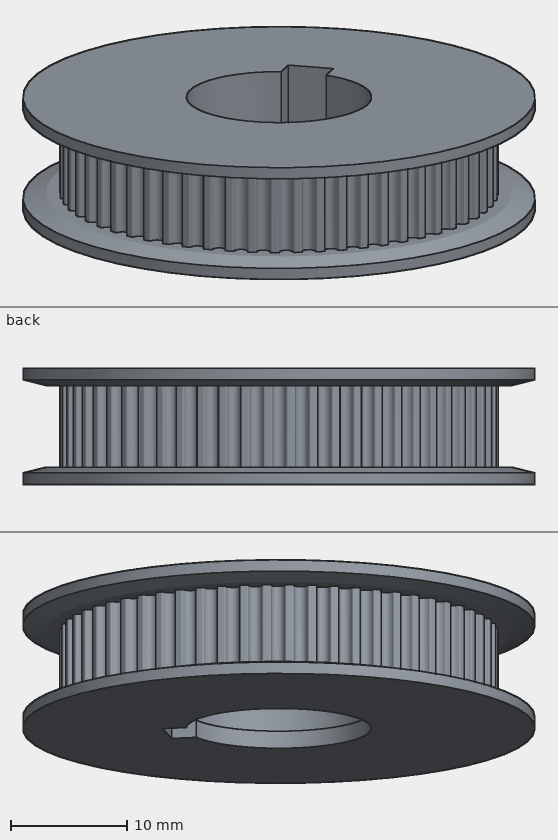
import cadquery as cq
import math

total_height = 10.0
flange_diameter = 44.0
flange_thickness = 1.5
flange_rim_height = 1.0
flange_flat_diameter = 40.0

bore_diameter = 15.9
keyway_width = 4.0
keyway_top = 9.82

tooth_count = 60
belt_pitch = 2.0
pitch_line_offset = 0.254
groove_depth = 0.75
floor_radius = 0.555
flank_radius = 1.0
flank_offset = 0.4
tip_fillet = 0.15

flange_radius = flange_diameter / 2
flange_flat_radius = flange_flat_diameter / 2
tooth_height = total_height - 2 * flange_thickness
pitch_angle = 2 * math.pi / tooth_count
tip_radius = tooth_count * belt_pitch / (2 * math.pi) - pitch_line_offset


def point_on_circle(centre, radius, direction):
    return (centre[0] + radius * math.cos(direction), centre[1] + radius * math.sin(direction))


def direction_between(start, end):
    return math.atan2(end[1] - start[1], end[0] - start[0])


def turned(point, angle):
    """The point turned about the pulley axis."""
    return (
        point[0] * math.cos(angle) - point[1] * math.sin(angle),
        point[0] * math.sin(angle) + point[1] * math.cos(angle),
    )


def groove_side_points():
    """Points up the +Y side of a groove centred on +X, from its floor to the tooth tip.

    The side has three tangent arcs: the round floor, a flank of larger radius
    and a small fillet. The points are the arc ends, with a point midway along
    the flank and the fillet.
    """
    axis = (0, 0)
    floor_centre = (tip_radius - groove_depth + floor_radius, 0)
    flank_centre = (tip_radius, -flank_offset)

    axis_to_flank = math.hypot(*flank_centre)
    axis_to_fillet = tip_radius - tip_fillet
    flank_to_fillet = flank_radius + tip_fillet
    cosine = (axis_to_flank**2 + axis_to_fillet**2 - flank_to_fillet**2) / (
        2 * axis_to_flank * axis_to_fillet
    )
    tip_direction = direction_between(axis, flank_centre) + math.acos(cosine)
    fillet_centre = point_on_circle(axis, axis_to_fillet, tip_direction)

    flank_start = direction_between(flank_centre, floor_centre)
    flank_end = direction_between(flank_centre, fillet_centre)
    fillet_start = flank_end - math.pi
    flank_middle = (flank_start + flank_end) / 2
    fillet_middle = (fillet_start + tip_direction) / 2
    return [
        (tip_radius - groove_depth, 0),
        point_on_circle(flank_centre, flank_radius, flank_start),
        point_on_circle(flank_centre, flank_radius, flank_middle),
        point_on_circle(flank_centre, flank_radius, flank_end),
        point_on_circle(fillet_centre, tip_fillet, fillet_middle),
        point_on_circle(axis, tip_radius, tip_direction),
    ]


def toothed_outline():
    """Closed outline of the tooth ring, with one groove centred on +X."""
    upper_side = groove_side_points()
    lower_side = [(x, -y) for x, y in reversed(upper_side[1:])]
    tip_middle = turned((tip_radius, 0), pitch_angle / 2)
    next_groove_start = turned(lower_side[0], pitch_angle)
    tooth_points = lower_side + upper_side + [tip_middle, next_groove_start]

    outline = cq.Workplane("XY").moveTo(*tooth_points[0])
    for index in range(tooth_count):
        angle = index * pitch_angle
        for middle, end in zip(tooth_points[1::2], tooth_points[2::2]):
            outline = outline.threePointArc(turned(middle, angle), turned(end, angle))
    return outline.close()


def flange_disc():
    """Flange with its outer face on Z = 0 and its bevelled inner face upward."""
    profile = [
        (0, 0),
        (flange_radius, 0),
        (flange_radius, flange_rim_height),
        (flange_flat_radius, flange_thickness),
        (0, flange_thickness),
    ]
    return cq.Workplane("XZ").polyline(profile).close().revolve(360, (0, 0, 0), (0, 1, 0))


def keyed_bore():
    """Cutter for the bore and its keyway, over the full height."""
    bore = cq.Workplane("XY").circle(bore_diameter / 2).extrude(total_height)
    keyway = (
        cq.Workplane("XY")
        .center(0, keyway_top / 2)
        .rect(keyway_width, keyway_top)
        .extrude(total_height)
    )
    return bore.union(keyway)


def make_pulley():
    """Tooth ring with the upper flange in one piece."""
    teeth = toothed_outline().extrude(tooth_height).translate((0, 0, flange_thickness))
    upper_flange = flange_disc().mirror("XY").translate((0, 0, total_height))
    return teeth.union(upper_flange).cut(keyed_bore())


def make_lower_flange():
    """Separate flange disc under the tooth ring."""
    return flange_disc().cut(keyed_bore())


pulley = make_pulley().solids()
lower_flange = make_lower_flange().solids()

result = cq.Compound.makeCompound([pulley.val(), lower_flange.val()])